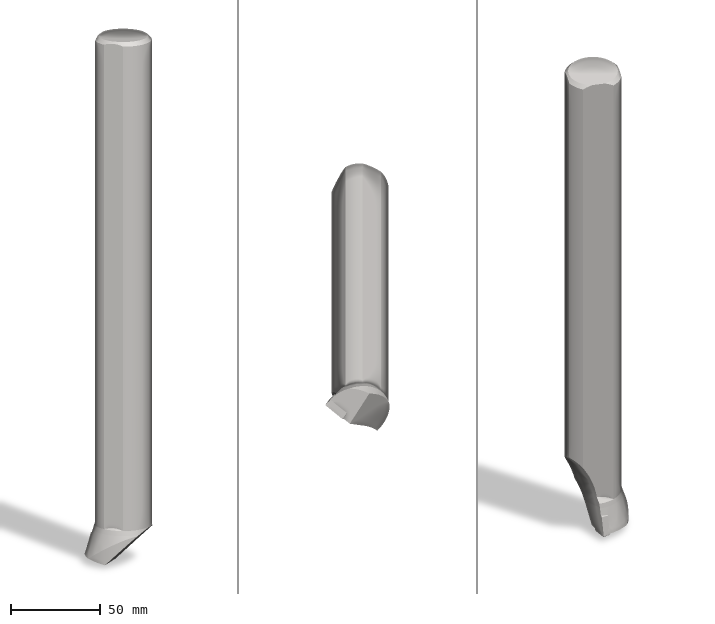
import cadquery as cq
import math

total_length = 304.3
shank_diameter = 32.0
shank_radius = shank_diameter / 2
side_flat_x = -13.5
face_flat_y = 15.0
end_chamfer_width = 2.0
end_chamfer_height = 2.0

collar_top_z = 24.5
collar_top_radius = 13.5
collar_edge_z = 22.0
collar_edge_radius = shank_radius
cone_top_z = 19.2
cone_top_radius = 16.7
cone_slope = 0.32
cone_bottom_radius = cone_top_radius + cone_slope * cone_top_z

relief_radius = 21.3
relief_x = -3.5
head_min_y = -19.0
relief_y = head_min_y + relief_radius

back_cut_bottom_x = -5.8

bottom_z = 4.0
bottom_slope_x = -0.2
bottom_slope_y = -0.1

rake_slope = 0.18
rake_y = 0.45
chip_drop = 0.42
chip_radius = 49.3
chip_tangent_z = 18.3
chip_angle = math.radians(50)
chip_start_x = -27.5
chip_end_x = 36.5

insert_edge = 12.8
insert_tilt = -14.6
insert_nose_x = -22.2
insert_nose_z = 3.0
insert_nose_radius = 0.8
insert_thickness = 4.0
insert_clearance = 7.0

beyond = 91.3


def make_shank():
    """Bar with a chamfered top end and flats on -X, -Y and +Y."""
    bar = (
        cq.Workplane("XZ")
        .moveTo(0, collar_edge_z)
        .lineTo(shank_radius, collar_edge_z)
        .lineTo(shank_radius, total_length - end_chamfer_height)
        .lineTo(shank_radius - end_chamfer_width, total_length)
        .lineTo(0, total_length)
        .close()
        .revolve(360, (0, 0, 0), (0, 1, 0))
    )
    flats = cq.Workplane("XY").box(
        shank_radius - side_flat_x, 2 * face_flat_y, total_length, centered=(False, True, False)
    ).translate((side_flat_x, 0, 0))
    return bar.intersect(flats)


def make_head():
    """Flared cone, limited by the relief cylinder."""
    cone = (
        cq.Workplane("XZ")
        .polyline([
            (0, 0),
            (cone_bottom_radius, 0),
            (cone_top_radius, cone_top_z),
            (collar_edge_radius, collar_edge_z),
            (collar_top_radius, collar_top_z),
            (0, collar_top_z),
        ])
        .close()
        .revolve(360, (0, 0, 0), (0, 1, 0))
    )
    relief = (
        cq.Workplane("XY")
        .center(relief_x, relief_y)
        .circle(relief_radius)
        .extrude(collar_top_z)
    )
    return cone.intersect(relief)


def make_back_cut():
    """Wedge on the +X side of the head."""
    return (
        cq.Workplane("XZ")
        .polyline([
            (back_cut_bottom_x, 0),
            (back_cut_bottom_x + beyond, beyond),
            (back_cut_bottom_x + beyond, 0),
        ])
        .close()
        .extrude(beyond, both=True)
    )


def make_bottom_cut():
    """Material below the tilted bottom face."""
    plane = cq.Plane(
        origin=(insert_nose_x, 0, bottom_z),
        xDir=(1, 0, bottom_slope_x),
        normal=(-bottom_slope_x, -bottom_slope_y, 1),
    )
    return cq.Workplane(plane).rect(2 * beyond, 2 * beyond).extrude(-beyond)


def make_chip_cut():
    """Oblique prism on the +Y side of the chip face."""
    def arc_point(angle):
        y = rake_y + chip_radius * (1 - math.cos(angle))
        z = chip_tangent_z + chip_radius * math.sin(angle)
        return y, z

    slide = chip_end_x - chip_start_x
    before = chip_start_x - side_flat_x
    end_y, end_z = arc_point(chip_angle)
    profile = (
        cq.Workplane("YZ")
        .moveTo(rake_y, -beyond)
        .lineTo(rake_y, chip_tangent_z)
        .threePointArc(arc_point(chip_angle / 2), (end_y, end_z))
        .lineTo(beyond, end_z)
        .lineTo(beyond, -beyond)
        .close()
        .wire()
        .translate((chip_start_x, rake_slope * before, -chip_drop * before))
        .val()
    )
    path = cq.Vector(slide, rake_slope * slide, -chip_drop * slide)
    return cq.Workplane(cq.Solid.extrudeLinear(profile, [], path))


def make_insert():
    """Square plate whose top lies in the flat part of the chip face."""
    nose_y = rake_y + rake_slope * (insert_nose_x - side_flat_x)
    plane = cq.Plane(
        origin=(insert_nose_x, nose_y, insert_nose_z),
        xDir=(1, rake_slope, 0),
        normal=(rake_slope, -1, 0),
    )
    outline = (
        cq.Sketch()
        .push([(insert_edge / 2, insert_edge / 2)])
        .rect(insert_edge, insert_edge)
        .reset()
        .vertices()
        .fillet(insert_nose_radius)
    )
    plane = plane.rotated((0, 0, insert_tilt))
    return cq.Workplane(plane).placeSketch(outline).extrude(insert_thickness, taper=insert_clearance)


insert = make_insert()

holder = (
    make_shank()
    .union(make_head())
    .cut(make_chip_cut())
    .cut(make_back_cut())
    .cut(make_bottom_cut())
    .cut(insert)
)

result = cq.Compound.makeCompound([holder.val(), insert.val()])